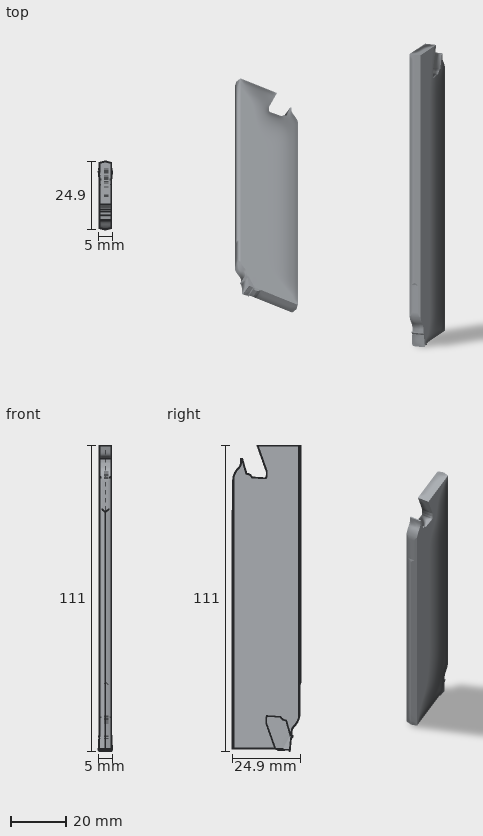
import cadquery as cq
import math


HALF_TURN = 180
MARGIN = 1.1

BLADE_LENGTH = 110.0
BLADE_WIDTH = 24.9
BLADE_THICKNESS = 4.3
RIDGE_SLOPE = math.radians(15)

HALF_LENGTH = BLADE_LENGTH / 2
HALF_WIDTH = BLADE_WIDTH / 2
HALF_THICKNESS = BLADE_THICKNESS / 2
SIDE_HALF_WIDTH = HALF_WIDTH - HALF_THICKNESS * math.tan(RIDGE_SLOPE)

FLAT_WIDTH = 2.3
FLAT_LOW = 31.9
FLAT_RUNOUT = 1.0
FLAT_OUT = HALF_WIDTH - FLAT_WIDTH / 2 * math.tan(RIDGE_SLOPE)

TIP_UP = 50.3
TIP_INNER_OUT = 8.8
TIP_OUTER_OUT = 9.2
TIP_LOW = 49.1
NOSE_HOLLOW_RADIUS = 3.1
NOSE_ROUND_RADIUS = 6.5

SEAT_OUTLINE = [
    (3.2, HALF_LENGTH),
    (-0.1, 45.6),
    (-0.1, 44.1),
    (0.2, 43.2),
    (5.1, 43.5),
    (5.9, 44.4),
    (6.5, 44.7),
    (7.2, 44.8),
    (TIP_INNER_OUT, TIP_UP),
]

EDGE_OVERHANG = 111 - BLADE_LENGTH
EDGE_OUT = 8.5
EDGE_UP = HALF_LENGTH + EDGE_OVERHANG
HEAD_WIDTH = 5.0
FOOT_OUT = 9.7
FOOT_HEIGHT = 0.3
RELIEF_OUT = 9.0
RELIEF_UP = 51.3
RAKE_UP = 55.5
RAKE_START_OUT = 8.2
RAKE_END_OUT = 6.7
HUMP_UP = 55.7
HUMP_START_OUT = 6.3
HUMP_END_OUT = 4.7
HUMP_BEVEL_WIDTH = 0.5
HEAD_BEVEL_LOW = 55.4
HEAD_BEVEL_WIDTH = 0.3
FLARE_FOOT = (TIP_INNER_OUT, 50.0)
FLARE_TOP = (6.0, HALF_LENGTH)

END_PLANE = cq.Plane(origin=(0, 0, 0), xDir=(0, -1, 0), normal=(-1, 0, 0))


def turn_to_lower_end(body):
    return body.rotate((0, 0, 0), (1, 0, 0), HALF_TURN)


def make_bar():
    """Bar with a shallow V ridge along both narrow edges."""
    section = [
        (0, HALF_WIDTH),
        (HALF_THICKNESS, SIDE_HALF_WIDTH),
        (HALF_THICKNESS, -SIDE_HALF_WIDTH),
        (0, -HALF_WIDTH),
        (-HALF_THICKNESS, -SIDE_HALF_WIDTH),
        (-HALF_THICKNESS, SIDE_HALF_WIDTH),
    ]
    return (
        cq.Workplane("XY")
        .workplane(offset=-HALF_LENGTH)
        .polyline(section)
        .close()
        .extrude(BLADE_LENGTH)
    )


def make_end_cutter():
    """Everything removed from one end: seat, nose and ridge flat in one outline."""
    radius_sum = NOSE_HOLLOW_RADIUS + NOSE_ROUND_RADIUS
    turn = math.acos(1 - (FLAT_OUT - TIP_OUTER_OUT) / radius_sum)
    bend = (
        TIP_OUTER_OUT + NOSE_HOLLOW_RADIUS * (1 - math.cos(turn)),
        TIP_LOW - NOSE_HOLLOW_RADIUS * math.sin(turn),
    )
    nose_end = (FLAT_OUT, TIP_LOW - radius_sum * math.sin(turn))
    wall_top_out = SEAT_OUTLINE[0][0]
    return (
        cq.Workplane(END_PLANE)
        .polyline(SEAT_OUTLINE)
        .lineTo(TIP_OUTER_OUT, TIP_UP)
        .lineTo(TIP_OUTER_OUT, TIP_LOW)
        .tangentArcPoint(bend, relative=False)
        .tangentArcPoint(nose_end, relative=False)
        .lineTo(FLAT_OUT, FLAT_LOW)
        .lineTo(HALF_WIDTH, FLAT_LOW - FLAT_RUNOUT)
        .lineTo(HALF_WIDTH + MARGIN, FLAT_LOW - FLAT_RUNOUT)
        .lineTo(HALF_WIDTH + MARGIN, HALF_LENGTH + MARGIN)
        .lineTo(wall_top_out, HALF_LENGTH + MARGIN)
        .close()
        .extrude(HALF_THICKNESS + MARGIN, both=True)
    )


def make_blade():
    upper_cutter = make_end_cutter()
    blade = make_bar()
    for cutter in (upper_cutter, turn_to_lower_end(upper_cutter)):
        blade = blade.cut(cutter)
    return blade


def make_flare_envelope():
    """Prism as thick as the blade that widens evenly from the crease to the head bevels."""
    crease_out = FLARE_TOP[0] - FLARE_FOOT[0]
    crease_up = FLARE_TOP[1] - FLARE_FOOT[1]
    crease_length = math.hypot(crease_out, crease_up)
    ahead_out = crease_up / crease_length
    ahead_up = -crease_out / crease_length
    flare_length = (
        (EDGE_OUT - FLARE_FOOT[0]) * ahead_out
        + (HEAD_BEVEL_LOW - FLARE_FOOT[1]) * ahead_up
    )
    half_head = HEAD_WIDTH / 2
    profile = [
        (-BLADE_WIDTH, -HALF_THICKNESS),
        (0, -HALF_THICKNESS),
        (flare_length, -half_head),
        (flare_length + MARGIN, -half_head),
        (flare_length + MARGIN, half_head),
        (flare_length, half_head),
        (0, HALF_THICKNESS),
        (-BLADE_WIDTH, HALF_THICKNESS),
    ]
    flare_plane = cq.Plane(
        origin=(0, -FLARE_FOOT[0], FLARE_FOOT[1]),
        xDir=(0, -ahead_out, ahead_up),
        normal=(0, ahead_up, ahead_out),
    )
    return cq.Workplane(flare_plane).polyline(profile).close().extrude(BLADE_WIDTH, both=True)


def make_side_bevels(start_out, end_out, half_width, low, high, bevel_width):
    """Pair of wedges that bevel the insert's two upper side edges."""
    wedge = (
        cq.Workplane("XZ", origin=(0, -start_out, 0))
        .moveTo(half_width, low)
        .lineTo(half_width + MARGIN, low)
        .lineTo(half_width + MARGIN, high)
        .lineTo(half_width - bevel_width, high)
        .close()
        .extrude(end_out - start_out)
    )
    return [wedge, wedge.mirror("YZ")]


def make_insert():
    """Insert filling the seat, with a flared head standing proud of the blade."""
    head_outline = [
        (FOOT_OUT, TIP_UP),
        (FOOT_OUT, TIP_UP + FOOT_HEIGHT),
        (RELIEF_OUT, RELIEF_UP),
        (EDGE_OUT, EDGE_UP),
        (RAKE_START_OUT, RAKE_UP),
        (RAKE_END_OUT, RAKE_UP),
        (HUMP_START_OUT, HUMP_UP),
        (HUMP_END_OUT, HUMP_UP),
    ]
    slab = (
        cq.Workplane(END_PLANE)
        .polyline(SEAT_OUTLINE + head_outline)
        .close()
        .extrude(HEAD_WIDTH / 2, both=True)
    )
    insert = slab.intersect(make_flare_envelope())
    hump_bevels = make_side_bevels(
        SEAT_OUTLINE[0][0], FLARE_TOP[0], HALF_THICKNESS, HALF_LENGTH, HUMP_UP, HUMP_BEVEL_WIDTH
    )
    head_bevels = make_side_bevels(
        FLARE_TOP[0], FOOT_OUT, HEAD_WIDTH / 2, HEAD_BEVEL_LOW, EDGE_UP, HEAD_BEVEL_WIDTH
    )
    for bevel in hump_bevels + head_bevels:
        insert = insert.cut(bevel)
    return turn_to_lower_end(insert)


blade = make_blade()
insert = make_insert()

result = cq.Compound.makeCompound([*blade.solids().vals(), *insert.solids().vals()])